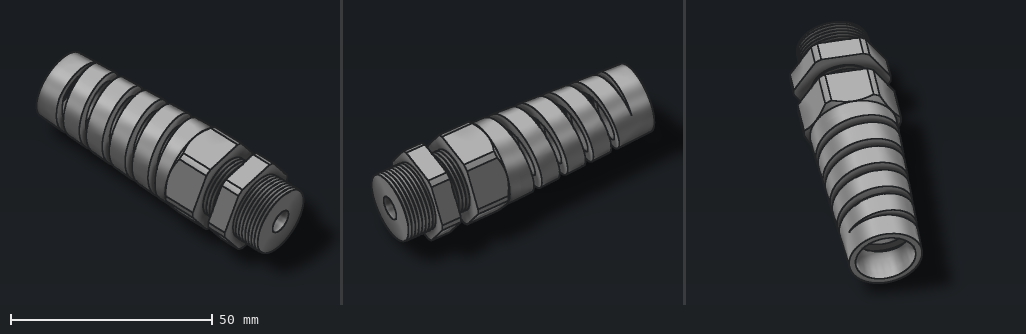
import cadquery as cq
import math


tail_start = 0.0
coil_start = 5.96
coil_end = 39.6
hex_start = 42.75
nut_end = 52.7
flange_start = 57.65
flange_end = 63.0
fitting_end = 70.87

across_flats = 22.1
sharp_corner_diameter = across_flats / math.cos(math.pi / 6)
corner_diameter = 24.53

tail_tip_radius = 9.25
collar_radius = 11.0
mouth_radius = 7.6
bore_radius = 7.25

slot_pitch = 7.63
slot_width = 2.35
slot_first_center = 4.12
slot_turns = math.ceil((coil_end - slot_first_center) / slot_pitch)
slot_clearance = 1.0

cable_hole_radius = 3.11
nose_tip_radius = 6.95
nose_length = 2.0
thread_depth_ratio = math.sqrt(3) / 2
nut_thread_crest_radius = 8.25
nut_thread_pitch = 1.03
nut_thread_first_crest = 52.76
entry_thread_crest_radius = 9.15
entry_thread_pitch = 1.0
entry_thread_first_crest = 62.95


def turned(points):
    """Solid of revolution about X from a closed (x, radius) outline."""
    return cq.Workplane("XZ").polyline(points).close().revolve(360, (0, 0, 0), (1, 0, 0))


def cylinder(start, end, radius):
    return cq.Workplane("YZ").workplane(offset=start).circle(radius).extrude(end - start)


def hexagon(start, end):
    """Hex prism with flats on top and bottom and its corners turned round."""
    prism = (
        cq.Workplane("YZ").workplane(offset=start)
        .polygon(6, sharp_corner_diameter).extrude(end - start)
    )
    return prism.intersect(cylinder(start, end, corner_diameter / 2))


def v_thread(start, end, crest_radius, pitch, first_crest):
    """Cylinder with ring-shaped V grooves between evenly spaced crests."""
    depth = pitch * thread_depth_ratio
    thread = cylinder(start, end, crest_radius)
    groove_count = math.ceil((end - first_crest) / pitch)
    for i in range(groove_count):
        crest = first_crest + i * pitch
        thread = thread.cut(turned([
            (crest, crest_radius),
            (crest + pitch / 2, crest_radius - depth),
            (crest + pitch, crest_radius),
        ]))
    return thread


def helical_slot():
    """Right-handed rectangular slot that winds around X through the coil wall."""
    inner = bore_radius - slot_clearance
    outer = collar_radius + slot_clearance
    middle = (inner + outer) / 2
    path = cq.Workplane(cq.Wire.makeHelix(slot_pitch, slot_turns * slot_pitch, middle))
    slot = (
        cq.Workplane("XZ").center(middle, 0).rect(outer - inner, slot_width)
        .sweep(path, isFrenet=True)
    )
    slot = slot.rotate((0, 0, 0), (1, 1, 1), 120)
    return slot.translate((slot_first_center, 0, 0))


def make_nut():
    tail = turned([
        (tail_start, mouth_radius),
        (tail_start, tail_tip_radius),
        (coil_end, collar_radius),
        (hex_start, collar_radius),
        (hex_start, bore_radius),
        (coil_start, bore_radius),
    ])
    coil_span = cylinder(coil_start, coil_end, collar_radius + 2 * slot_clearance)
    tail = tail.cut(helical_slot().intersect(coil_span))

    chamfer = corner_diameter / 2 - collar_radius
    dome = turned([
        (hex_start, bore_radius),
        (hex_start, collar_radius),
        (hex_start + chamfer, corner_diameter / 2),
        (nut_end, corner_diameter / 2),
        (nut_end, bore_radius),
    ])
    return tail.union(hexagon(hex_start, nut_end).intersect(dome))


def make_fitting():
    spigot = turned([
        (coil_end, 0),
        (coil_end, nose_tip_radius),
        (coil_end + nose_length, bore_radius),
        (nut_end, bore_radius),
        (nut_end, 0),
    ])
    nut_thread = v_thread(
        nut_end, flange_start, nut_thread_crest_radius, nut_thread_pitch, nut_thread_first_crest)
    entry_thread = v_thread(
        flange_end, fitting_end, entry_thread_crest_radius, entry_thread_pitch,
        entry_thread_first_crest)
    body = spigot.union(nut_thread).union(hexagon(flange_start, flange_end)).union(entry_thread)
    return body.cut(cylinder(coil_end, fitting_end, cable_hole_radius))


nut = make_nut()
fitting = make_fitting()
result = cq.Compound.makeCompound([nut.val(), fitting.val()])